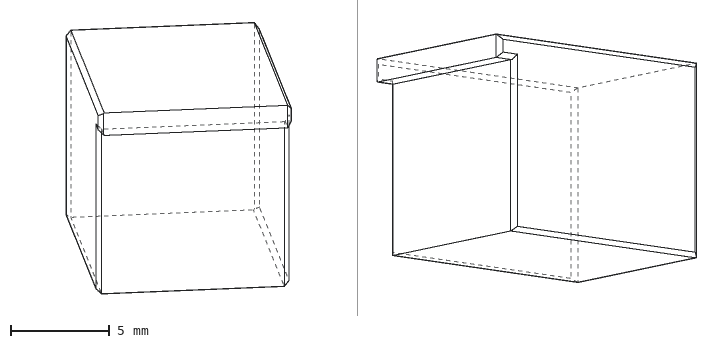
import cadquery as cq

width = 9.86
length = 13.21
height = 10.0
lip_overhang = 1.0
lip_thickness = 1.2
chamfer_depth = 0.22
chamfer_inset = 0.27
turn_angle = 26.7

front = -length / 2
body_front = front + lip_overhang
back = length / 2
lip_bottom = height - lip_thickness

profile = [
    (body_front, 0),
    (back, 0),
    (back, height),
    (front, height),
    (front, lip_bottom),
    (body_front, lip_bottom),
]

block = cq.Workplane("YZ").polyline(profile).close().extrude(width / 2, both=True)


def chamfer_end(solid, end_selector):
    """Chamfer the whole outline of one end, including the corner under the lip."""
    end_face = solid.faces(end_selector).val()
    chamfered = solid.val().chamfer(chamfer_inset, chamfer_depth, end_face.Edges())
    return cq.Workplane(chamfered)


for end_selector in ("<X", ">X"):
    block = chamfer_end(block, end_selector)

result = block.rotate((0, 0, 0), (0, 0, 1), turn_angle)